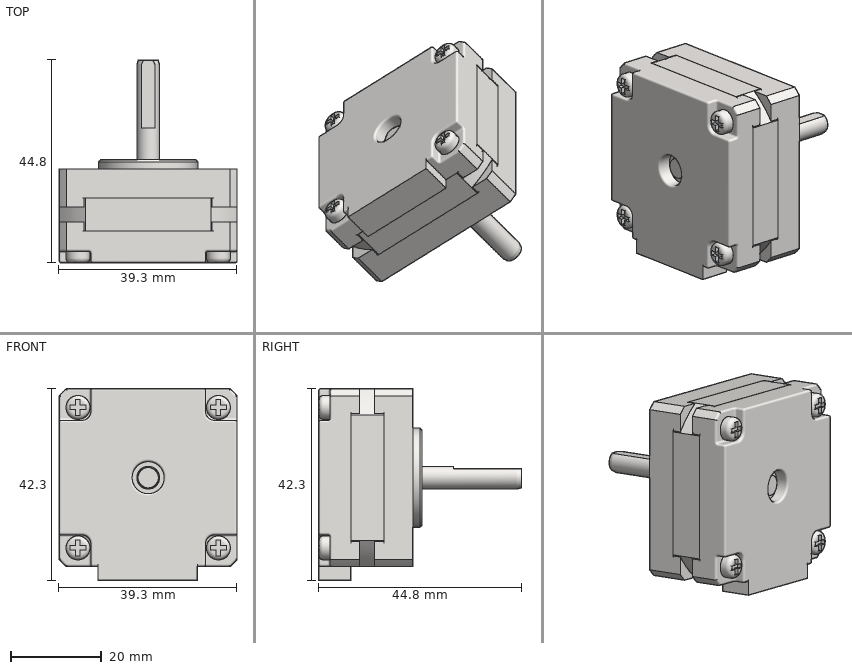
import cadquery as cq
import math


frame_side = 39.3
corner_radius = 26.7
front_face_y = 20.8
edge_radius = 0.5

stator_radius = 24.05
socket_radius = 24.2
stator_rear_y = 7.1
stator_front_y = 14.4
slot_rear_y = 9.05
slot_front_y = 12.35

pilot_diameter = 22.0
pilot_height = 2.0
pilot_chamfer = 0.5

shaft_radius = 2.5
shaft_tip_y = 44.8
shaft_rear_y = 2.0
tip_length = 1.0
tip_radius = 2.25
flat_length = 15.0
flat_depth = 0.5

access_radius = 3.55
access_depth = 3.0

screw_offset = 15.5
pocket_side = 7.0
pocket_corner_radius = 1.95
head_height = 2.5
head_radius = 2.65
head_round = 1.05
cross_length = 3.5
cross_width = 1.0
cross_depth = 1.0

connector_width = 22.0
connector_drop = 3.0
connector_overlap = 0.9
connector_offset = -0.15

tolerance = 0.005

half_side = frame_side / 2
corners = [(sx, sz) for sx in (-1, 1) for sz in (-1, 1)]


def block(x_size, z_size, rear_y, front_y, x=0.0, z=0.0):
    """Box between two Y planes, centred on (x, z)."""
    length = front_y - rear_y
    return cq.Workplane("XY").box(x_size, length, z_size).translate((x, rear_y + length / 2, z))


def disc(radius, rear_y, front_y, x=0.0, z=0.0):
    """Cylinder along Y between two Y planes, centred on (x, z)."""
    base = cq.Workplane("XZ", origin=(x, rear_y, z))
    return base.circle(radius).extrude(rear_y - front_y)


def frame(rear_y, front_y):
    """Square frame section, its corners trimmed by a wide arc about the motor axis."""
    square = block(frame_side, frame_side, rear_y, front_y)
    return square.intersect(disc(corner_radius, rear_y, front_y))


def pocket(sx, sz):
    """Cutter for one corner pocket, rounded at its inner corner and along its floor."""
    reach = 2 * pocket_side
    centre = half_side - pocket_side + reach / 2
    cutter = block(reach, reach, -head_height, head_height, sx * centre, sz * centre)
    inner_corner = cq.selectors.NearestToPointSelector(
        (sx * (half_side - pocket_side), 0, sz * (half_side - pocket_side))
    )
    cutter = cutter.edges("|Y").edges(inner_corner).fillet(pocket_corner_radius)
    return cutter.faces(">Y").edges().fillet(edge_radius)


def screw_head(sx, sz):
    """Pan head with a cross recess, its top flush with the rear face."""
    x = sx * screw_offset
    z = sz * screw_offset
    head = disc(head_radius, 0, head_height, x, z).faces("<Y").edges().fillet(head_round)
    across = block(cross_length, cross_width, 0, cross_depth, x, z)
    upright = block(cross_width, cross_length, 0, cross_depth, x, z)
    return head.cut(across).cut(upright)


def on_outline(point):
    """True where a point lies on the flat sides or trimmed corners of the frame."""
    on_flat = max(abs(point.x), abs(point.z)) > half_side - tolerance
    on_corner = math.hypot(point.x, point.z) > corner_radius - tolerance
    return on_flat or on_corner


def rim_edges(cap):
    """Edges of the rear face, and the outer edges that step down around the pockets."""
    rim = []
    for edge in cap.edges().vals():
        deepest = edge.BoundingBox().ymax
        on_rear_face = deepest < tolerance
        around_pocket = deepest < head_height + tolerance and on_outline(edge.positionAt(0.5))
        if on_rear_face or around_pocket:
            rim.append(edge)
    return rim


def cut_access_hole(cap):
    """Stepped hole: a wide rounded mouth, then a close fit around the shaft."""
    cap = cap.cut(disc(access_radius, 0, access_depth))
    mouth = cap.faces("<Y").edges("%CIRCLE").edges(cq.selectors.RadiusNthSelector(-1))
    cap = mouth.fillet(edge_radius)
    return cap.cut(disc(shaft_radius, 0, stator_rear_y))


def connector():
    """Block hanging below the frame, flush with the rear face and the stator."""
    height = connector_drop + connector_overlap
    centre_z = connector_overlap - half_side - height / 2
    return block(connector_width, height, 0, stator_rear_y, connector_offset, centre_z)


def make_rear_cap():
    """Rear end cap in one piece with its screw heads and connector."""
    cap = frame(0, slot_rear_y)
    for sx, sz in corners:
        cap = cap.cut(pocket(sx, sz))

    cap = cap.newObject(rim_edges(cap)).fillet(edge_radius)

    cap = cap.cut(disc(socket_radius, stator_rear_y, slot_rear_y))
    cap = cut_access_hole(cap)
    cap = cap.union(connector())
    for sx, sz in corners:
        cap = cap.union(screw_head(sx, sz))
    return cap


def make_front_cap():
    """Front end cap with the pilot boss and the shaft hole."""
    pilot = disc(pilot_diameter / 2, front_face_y, front_face_y + pilot_height)
    pilot = pilot.faces(">Y").edges().chamfer(pilot_chamfer)
    cap = frame(slot_front_y, front_face_y).union(pilot)
    cap = cap.cut(disc(socket_radius, slot_front_y, stator_front_y))
    return cap.cut(disc(shaft_radius, slot_front_y, shaft_tip_y))


def make_core():
    """Stator disc in one piece with the flatted shaft running through it."""
    stator = disc(stator_radius, stator_rear_y, stator_front_y)
    stator = stator.intersect(block(frame_side, frame_side, stator_rear_y, stator_front_y))
    shaft = disc(shaft_radius, shaft_rear_y, shaft_tip_y)
    shaft = shaft.faces("<Y or >Y").edges().chamfer(tip_length, shaft_radius - tip_radius)
    flat_z = shaft_radius - flat_depth / 2
    flat = block(2 * shaft_radius, flat_depth, shaft_tip_y - flat_length, shaft_tip_y, z=flat_z)
    return stator.union(shaft.cut(flat))


rear_cap = make_rear_cap()
front_cap = make_front_cap()
core = make_core()

bodies = [rear_cap, front_cap, core]
result = cq.Compound.makeCompound([body.solids().val() for body in bodies])